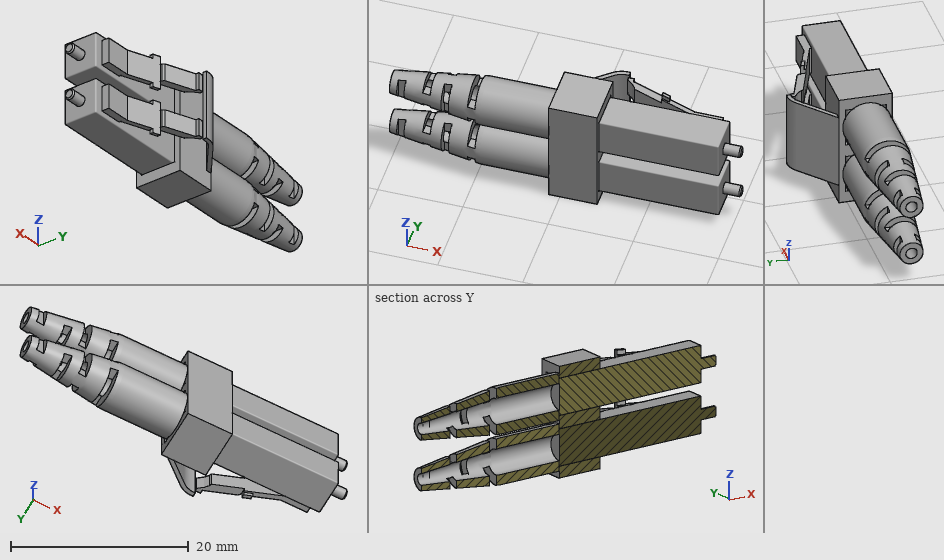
import cadquery as cq
import math


clip_rear = 19.2
clip_front = 24.9
body_front = 38.95
ferrule_front = 41.0

axis_pitch = 6.03
axis_heights = (-axis_pitch / 2, axis_pitch / 2)

boot_tip_radius = 1.35
boot_radius = 2.83
boot_shoulder = 10.85
boot_blend_radius = 3.3
bore_tip_radius = 0.65
bore_radius = 1.55
slot_starts = (0.9, 4.0, 6.3, 9.5)
slot_width = 0.9
slot_web = 1.7
slot_reach = 2 * boot_radius

body_side = 4.5
body_edge_radius = 0.15
ferrule_radius = 0.65
ferrule_chamfer = 0.15

latch_angle = math.radians(20)
arm_width = 3.2
arm_thickness = 0.6
paddle_width = 2.2
foot_rear = 34.73
foot_front = 37.9
foot_top = 3.25
arm_root_bottom = 2.5
paddle_front = 30.35
paddle_rear = 26.77
paddle_thickness = 1.0
paddle_nose_length = 0.2
paddle_nose_thickness = 0.78
lip_rear = 25.6
lip_front = 26.3
lip_top = 7.05
lip_bottom = 6.7
throat_rise = 0.75
throat_foot_rise = 0.25
throat_foot_lean = 0.1
tab_length = 1.02
tab_thickness = 0.4
tab_span = 4.25

clip_bottom = -2.95
clip_top = 3.3
clip_height = 13.32
window_top = 2.5
trigger_top = 7.65
trigger_front = 25.65
trigger_thickness = 0.55
trigger_width = 8.77
trigger_angle = math.radians(40)
trigger_bend_radius = 2.62


def round_profile(tip_radius, rear_radius):
    """Solid cone from the boot tip to the shoulder, then a cylinder on to the clip."""
    return (
        cq.Workplane("XZ")
        .polyline([
            (0, 0),
            (0, tip_radius),
            (boot_shoulder, rear_radius),
            (clip_rear, rear_radius),
            (clip_rear, 0),
        ])
        .close()
        .revolve(360, (0, 0, 0), (1, 0, 0))
    )


def make_boot(axis_z):
    """Hollow cone running into a cylinder, with slots cut alternately across Y and Z."""
    boot = round_profile(boot_tip_radius, boot_radius)
    shoulder = cq.selectors.NearestToPointSelector((boot_shoulder, 0, 0))
    boot = boot.edges(shoulder).fillet(boot_blend_radius)
    bore = round_profile(bore_tip_radius, bore_radius)
    boot = boot.cut(bore)
    slot_offset = (slot_web + slot_reach) / 2
    for index, start in enumerate(slot_starts):
        slot_center = start + slot_width / 2
        for side in (-1, 1):
            slot = cq.Workplane("XY").box(slot_width, slot_reach, 2 * slot_reach)
            slot = slot.translate((slot_center, side * slot_offset, 0))
            if index % 2 == 1:
                slot = slot.rotate((0, 0, 0), (1, 0, 0), 90)
            boot = boot.cut(slot)
    return boot.translate((0, 0, axis_z))


def arm_bottom(x):
    """Height of the latch arm's lower face at x."""
    return arm_root_bottom + (foot_rear - x) * math.tan(latch_angle)


def above_arm(x, thickness):
    """Point at x on a face parallel to the arm's lower face."""
    return (x, arm_bottom(x) + thickness / math.cos(latch_angle))


def prism(points, width):
    """Outline in the XY plane extruded symmetrically about Z = 0."""
    return cq.Workplane("XY").polyline(points).close().extrude(width / 2, both=True)


def make_latch():
    """Foot, thin arm, side tabs and the narrower, thicker paddle with its raised lip."""
    body_top = body_side / 2
    arm_rise = foot_top - arm_root_bottom - arm_thickness / math.cos(latch_angle)
    arm_end = foot_rear - arm_rise / math.tan(latch_angle)
    arm = prism(
        [
            (foot_front, body_top),
            (foot_front, foot_top),
            (arm_end, foot_top),
            above_arm(paddle_front, arm_thickness),
            (paddle_front, arm_bottom(paddle_front)),
            (foot_rear, arm_root_bottom),
            (foot_rear, body_top),
        ],
        arm_width,
    )
    paddle_nose = paddle_front - paddle_nose_length
    paddle_corner_y = arm_bottom(paddle_rear)
    paddle = prism(
        [
            (paddle_front, arm_bottom(paddle_front)),
            above_arm(paddle_front, paddle_nose_thickness),
            above_arm(paddle_nose, paddle_thickness),
            above_arm(lip_front, paddle_thickness),
            (lip_front, lip_top),
            (lip_rear, lip_top),
            (lip_rear, lip_bottom),
            (lip_front, paddle_corner_y + throat_rise),
            (paddle_rear - throat_foot_lean, paddle_corner_y + throat_foot_rise),
            (paddle_rear, paddle_corner_y),
        ],
        paddle_width,
    )
    tab_lift = arm_thickness - tab_thickness
    tab_front = paddle_front + tab_length * math.cos(latch_angle)
    tabs = prism(
        [
            above_arm(paddle_front, tab_lift),
            above_arm(paddle_front, arm_thickness),
            above_arm(tab_front, arm_thickness),
            above_arm(tab_front, tab_lift),
        ],
        tab_span,
    )
    return arm.union(paddle).union(tabs)


def make_connector(axis_z):
    """Square body with rounded edges, carrying the ferrule in front and the latch on its +Y side."""
    body_length = body_front - clip_rear
    body = (
        cq.Workplane("XY")
        .box(body_length, body_side, body_side)
        .edges()
        .fillet(body_edge_radius)
        .translate((clip_rear + body_length / 2, 0, 0))
    )
    ferrule = (
        cq.Workplane("YZ", origin=(body_front, 0, 0))
        .circle(ferrule_radius)
        .extrude(ferrule_front - body_front)
        .faces(">X")
        .chamfer(ferrule_chamfer)
    )
    return body.union(ferrule).union(make_latch()).translate((0, 0, axis_z))


def make_trigger():
    """Slanted strip rising from the clip's rear top edge and bending over to a level tip."""
    sine = math.sin(trigger_angle)
    cosine = math.cos(trigger_angle)
    bend_center_y = trigger_top - trigger_bend_radius
    inner_radius = trigger_bend_radius - trigger_thickness
    slant_end_y = bend_center_y + trigger_bend_radius * cosine
    slant_end_x = clip_rear + (slant_end_y - clip_top) / math.tan(trigger_angle)
    bend_center_x = slant_end_x + trigger_bend_radius * sine

    def on_bend(radius, angle):
        return (bend_center_x - radius * math.sin(angle), bend_center_y + radius * math.cos(angle))

    return (
        cq.Workplane("XY")
        .moveTo(clip_rear, clip_top)
        .lineTo(*on_bend(trigger_bend_radius, trigger_angle))
        .threePointArc(on_bend(trigger_bend_radius, trigger_angle / 2), on_bend(trigger_bend_radius, 0))
        .lineTo(trigger_front, trigger_top)
        .lineTo(trigger_front, trigger_top - trigger_thickness)
        .lineTo(*on_bend(inner_radius, 0))
        .threePointArc(on_bend(inner_radius, trigger_angle / 2), on_bend(inner_radius, trigger_angle))
        .lineTo(clip_rear + trigger_thickness / sine, clip_top)
        .close()
        .extrude(trigger_width / 2, both=True)
    )


def make_clip():
    """Block with a through window for each connector, and the trigger on its +Y side."""
    clip_length = clip_front - clip_rear
    clip = cq.Workplane("XY").box(clip_length, clip_top - clip_bottom, clip_height)
    clip = clip.translate((clip_rear + clip_length / 2, (clip_top + clip_bottom) / 2, 0))
    window_bottom = -body_side / 2
    for axis_z in axis_heights:
        window = cq.Workplane("XY").box(clip_length, window_top - window_bottom, body_side)
        window_center_y = (window_top + window_bottom) / 2
        clip = clip.cut(window.translate((clip_rear + clip_length / 2, window_center_y, axis_z)))
    return clip.union(make_trigger())


boots = [make_boot(axis_z) for axis_z in axis_heights]
connectors = [make_connector(axis_z) for axis_z in axis_heights]
clip = make_clip()

result = cq.Compound.makeCompound([
    *[boot.val() for boot in boots],
    *[connector.val() for connector in connectors],
    clip.val(),
])